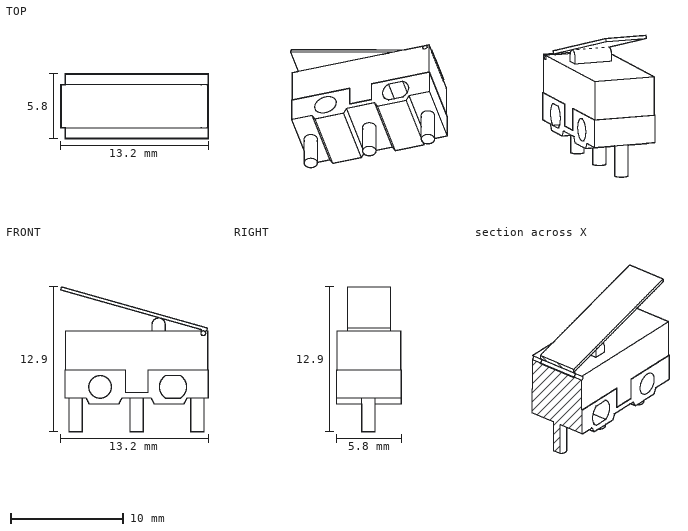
import cadquery as cq
import math


base_length = 12.8
base_width = 5.8
base_height = 2.5

step = 0.05
cover_length = base_length - 2 * step
cover_width = base_width - 2 * step
cover_top = 6.0

tongue_width = 2.0
tongue_bottom = 0.5

foot_offset = 2.9
foot_top_width = 3.2
foot_bottom_width = 2.65
foot_height = 0.53

hole_offset = 3.25
hole_diameter = 2.0
hole_height = 1.0
wide_hole_diameter = 2.4

terminal_diameter = 1.2
terminal_length = 3.0
terminal_offset = 5.43
terminal_y = -0.04

lever_angle = 15.75
lever_thickness = 0.3
lever_width = 3.85
lever_reach = 13.295
hinge_x = 5.95
hinge_height = 5.79
hinge_hole_diameter = 0.4
hinge_block_half = 0.25
hinge_to_lever = 0.25

plunger_x = 1.97
plunger_diameter = 1.2
plunger_width = 3.5


def block_along_y(outline, width):
    """Extrude an XZ outline evenly to both sides of the middle plane."""
    return cq.Workplane("XZ").polyline(outline).close().extrude(width / 2, both=True)


def rod_along_y(x, z, diameter):
    """Round rod along Y that is as long as the base is wide."""
    return cq.Workplane("XZ").center(x, z).circle(diameter / 2).extrude(base_width / 2, both=True)


def box_between(length, width, bottom, top):
    """Box centred on the Z axis between two heights."""
    return cq.Workplane("XY", origin=(0, 0, bottom)).box(
        length, width, top - bottom, centered=(True, True, False)
    )


def make_foot(x):
    outline = [
        (x - foot_top_width / 2, 0),
        (x - foot_bottom_width / 2, -foot_height),
        (x + foot_bottom_width / 2, -foot_height),
        (x + foot_top_width / 2, 0),
    ]
    return block_along_y(outline, base_width)


def make_wide_hole():
    """Round hole cut flat so that it is as high as the round mounting hole."""
    flats = box_between(
        base_length, base_width, hole_height - hole_diameter / 2, hole_height + hole_diameter / 2
    )
    return rod_along_y(hole_offset, hole_height, wide_hole_diameter).intersect(flats)


def make_lever_blank():
    """Lever strip with the hinge block under its end, drawn level and then tilted about the hinge."""
    strip_top = hinge_to_lever + lever_thickness
    outline = [
        (-lever_reach, strip_top),
        (hinge_block_half, strip_top),
        (hinge_block_half, -hinge_block_half),
        (-hinge_block_half, -hinge_block_half),
        (-hinge_block_half, hinge_to_lever),
        (-lever_reach, hinge_to_lever),
    ]
    level = block_along_y(outline, lever_width)
    tilted = level.rotate((0, 0, 0), (0, 1, 0), lever_angle)
    return tilted.translate((hinge_x, 0, hinge_height))


def make_lever():
    return make_lever_blank().cut(rod_along_y(hinge_x, hinge_height, hinge_hole_diameter))


def make_housing():
    base = box_between(base_length, base_width, 0, base_height)
    notch = box_between(tongue_width, base_width, tongue_bottom, base_height)
    tongue = box_between(tongue_width, cover_width, tongue_bottom, base_height)
    cover = box_between(cover_length, cover_width, base_height, cover_top)
    housing = base.cut(notch).union(tongue).union(cover)

    for x in (-foot_offset, foot_offset):
        housing = housing.union(make_foot(x))
    housing = housing.cut(rod_along_y(-hole_offset, hole_height, hole_diameter))
    housing = housing.cut(make_wide_hole())

    for x in (-terminal_offset, 0, terminal_offset):
        terminal = (
            cq.Workplane("XY")
            .center(x, terminal_y)
            .circle(terminal_diameter / 2)
            .extrude(-terminal_length)
        )
        housing = housing.union(terminal)

    housing = housing.cut(make_lever_blank())
    return housing.cut(rod_along_y(hinge_x, hinge_height, hinge_hole_diameter))


def make_plunger():
    """Round-topped bar on the cover, its dome just touching the underside of the lever."""
    radius = plunger_diameter / 2
    tilt = math.radians(lever_angle)
    dome_height = (
        hinge_height
        + (hinge_to_lever - radius) / math.cos(tilt)
        + (hinge_x - plunger_x) * math.tan(tilt)
    )
    return (
        cq.Workplane("XZ")
        .moveTo(plunger_x - radius, cover_top)
        .lineTo(plunger_x - radius, dome_height)
        .threePointArc((plunger_x, dome_height + radius), (plunger_x + radius, dome_height))
        .lineTo(plunger_x + radius, cover_top)
        .close()
        .extrude(plunger_width / 2, both=True)
    )


housing = make_housing()
lever = make_lever()
plunger = make_plunger()

result = cq.Compound.makeCompound(
    [*housing.solids().vals(), *lever.solids().vals(), *plunger.solids().vals()]
)